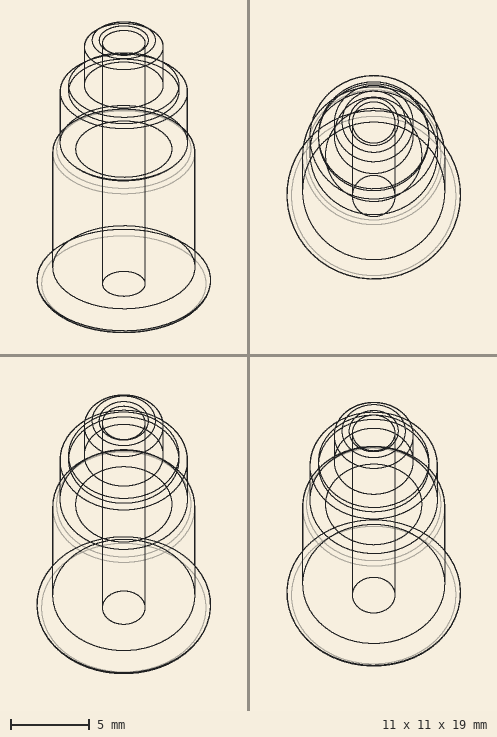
import cadquery as cq
import math

total_height = 19.0
stud_height = 3.5
step_height = 0.5
body_top = 10.5
flare_top = 1.3
step_top = total_height - stud_height
collar_top = step_top - step_height

bore_radius = 2.7 / 2
stud_radius = 5.0 / 2
step_radius = 7.0 / 2
collar_radius = 8.08 / 2
body_radius = 9.0 / 2
rim_radius = 11.0 / 2

stud_chamfer = 0.5
bore_chamfer = 0.2
body_round = 0.25
collar_round = 1.24
collar_round_height = 0.5
rim_round = flare_top - (rim_radius - body_radius)

collar_bottom = body_top + collar_round_height
arc_angle = math.acos(1 - collar_round_height / collar_round)
neck_radius = collar_radius - collar_round * math.sin(arc_angle)


def point_on_arc(center_x, center_z, radius, angle):
    """Point at an angle from straight down, turning outward."""
    return (center_x + radius * math.sin(angle), center_z - radius * math.cos(angle))


rim_arc_middle = point_on_arc(rim_radius - rim_round, rim_round, rim_round, math.pi / 4)
body_arc_middle = point_on_arc(
    body_radius - body_round, body_top - body_round, body_round, 3 * math.pi / 4
)
collar_arc_middle = point_on_arc(neck_radius, body_top + collar_round, collar_round, arc_angle / 2)

profile = (
    cq.Workplane("XZ")
    .moveTo(bore_radius, 0)
    .lineTo(rim_radius - rim_round, 0)
    .threePointArc(rim_arc_middle, (rim_radius, rim_round))
    .lineTo(body_radius, flare_top)
    .lineTo(body_radius, body_top - body_round)
    .threePointArc(body_arc_middle, (body_radius - body_round, body_top))
    .lineTo(neck_radius, body_top)
    .threePointArc(collar_arc_middle, (collar_radius, collar_bottom))
    .lineTo(collar_radius, collar_top)
    .lineTo(step_radius, collar_top)
    .lineTo(step_radius, step_top)
    .lineTo(stud_radius, step_top)
    .lineTo(stud_radius, total_height - stud_chamfer)
    .lineTo(stud_radius - stud_chamfer, total_height)
    .lineTo(bore_radius + bore_chamfer, total_height)
    .lineTo(bore_radius, total_height - bore_chamfer)
    .close()
)

result = profile.revolve(360, (0, 0, 0), (0, 1, 0))